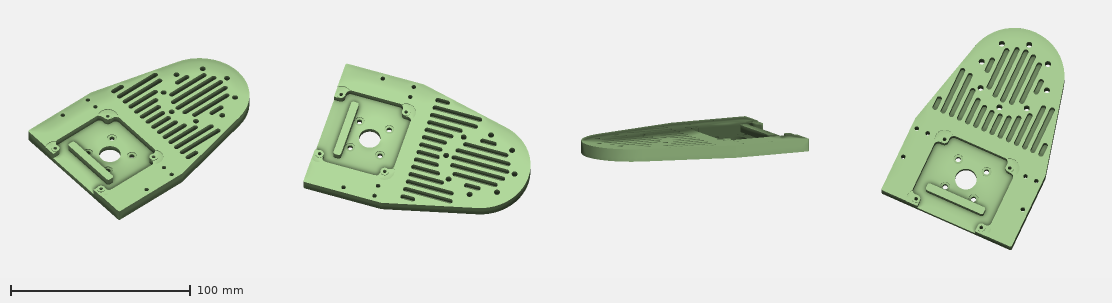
import cadquery as cq
import math

length = 119.2
width = 80.0
thickness = 7.0
straight_side = 45.8
nose_radius = 28.0
base_corner_radius = 1.0
half_width = width / 2
nose_y = length - nose_radius

slot_width = 3.0
slot_pitch = 5.0
slot_depth = 4.0
inner_vent_radius = 15.4
outer_vent_radius = 24.7
flank_inset = 3.5
outer_slot_start_y = 56.1
inner_slots_per_side = 3
outer_slots_per_side = 7

ring_hole_count = 8
ring_radius = 20.0
ring_hole_diameter = 3.3

side_hole_diameter = 2.5
side_hole_x = 36.7
inner_side_hole_x = 30.0
side_hole_upper_y = 40.7
side_hole_lower_y = 22.6

pocket_depth = 4.0
pocket_half_width = 24.1
pocket_top_y = 45.6
pocket_corner_radius = 2.5
pocket_floor = thickness - pocket_depth

post_x = 20.0
post_rows = (3.5, 41.5)
post_diameter = 4.6
post_hole_diameter = 2.0
recess_radius = 5.5
recess_depth = 0.5
post_radius = post_diameter / 2
web_x = post_x - post_radius
web_lower_y = post_rows[0] + post_radius
web_upper_y = post_rows[1] - post_radius

bore_y = 26.5
bore_diameter = 12.0
screw_offset = 8.7
screw_hole_diameter = 3.0
counterbore_diameter = 5.5
counterbore_depth = 0.5

bar_length = 2 * web_x
bar_width = 4.4
bar_y = 12.6
bar_corner_radius = 1.3

shoulder_drop = nose_y - straight_side
shoulder_distance = math.hypot(half_width, shoulder_drop)
flank_angle = math.acos(nose_radius / shoulder_distance) - math.atan2(shoulder_drop, half_width)
tangent_x = nose_radius * math.cos(flank_angle)
tangent_y = nose_y + nose_radius * math.sin(flank_angle)


def cylinders(points, diameter, bottom, height):
    return (
        cq.Workplane("XY", origin=(0, 0, bottom))
        .pushPoints(points)
        .circle(diameter / 2)
        .extrude(height)
    )


def through_holes(points, diameter):
    return cylinders(points, diameter, 0, thickness)


def make_plate():
    return (
        cq.Workplane("XY")
        .moveTo(-half_width, 0)
        .lineTo(half_width, 0)
        .lineTo(half_width, straight_side)
        .lineTo(tangent_x, tangent_y)
        .threePointArc((0, length), (-tangent_x, tangent_y))
        .lineTo(-half_width, straight_side)
        .close()
        .extrude(thickness)
        .edges("|Z and <Y")
        .fillet(base_corner_radius)
    )


def make_slot(x, lower_y, upper_y):
    """Slot along Y, given the centres of its round ends."""
    return (
        cq.Workplane("XY", origin=(x, (lower_y + upper_y) / 2, thickness))
        .slot2D(upper_y - lower_y + slot_width, slot_width, 90)
        .extrude(-slot_depth)
    )


def outer_slot_end(x):
    """Upper end centre: below the vent circle, or below the inset flank when beside the circle."""
    if x < outer_vent_radius:
        return nose_y - math.sqrt(outer_vent_radius**2 - x**2)
    flank_offset = nose_radius - flank_inset
    return nose_y + (flank_offset - x * math.cos(flank_angle)) / math.sin(flank_angle)


def cut_vents(body):
    for index in range(-inner_slots_per_side, inner_slots_per_side + 1):
        x = index * slot_pitch
        reach = math.sqrt(inner_vent_radius**2 - x**2)
        body = body.cut(make_slot(x, nose_y - reach, nose_y + reach))
    for index in range(outer_slots_per_side):
        x = (index + 0.5) * slot_pitch
        for side in (-1, 1):
            body = body.cut(make_slot(side * x, outer_slot_start_y, outer_slot_end(x)))
    return body


def make_pocket():
    """Cross-shaped pocket volume; the corner webs are what it leaves behind."""
    pocket = (
        cq.Workplane("XY", origin=(0, 0, pocket_floor))
        .moveTo(-web_x, 0)
        .lineTo(web_x, 0)
        .lineTo(web_x, web_lower_y)
        .lineTo(pocket_half_width, web_lower_y)
        .lineTo(pocket_half_width, web_upper_y)
        .lineTo(web_x, web_upper_y)
        .lineTo(web_x, pocket_top_y)
        .lineTo(-web_x, pocket_top_y)
        .lineTo(-web_x, web_upper_y)
        .lineTo(-pocket_half_width, web_upper_y)
        .lineTo(-pocket_half_width, web_lower_y)
        .lineTo(-web_x, web_lower_y)
        .close()
        .extrude(pocket_depth)
    )
    outer_corners = "|Z and (<X or >X or >Y)"
    web_corners = cq.selectors.BoxSelector(
        (-post_x, web_lower_y - post_radius, 0),
        (post_x, web_upper_y + post_radius, thickness),
    )
    pocket = pocket.edges(outer_corners).fillet(pocket_corner_radius)
    return pocket.edges("|Z").edges(web_corners).fillet(post_radius)


def make_bar():
    return (
        cq.Workplane("XY", origin=(0, bar_y, pocket_floor))
        .rect(bar_length, bar_width)
        .extrude(pocket_depth)
        .edges("|Z")
        .fillet(bar_corner_radius)
    )


post_points = [(side * post_x, y) for side in (-1, 1) for y in post_rows]
screw_points = [
    (x, bore_y + y) for x in (-screw_offset, screw_offset) for y in (-screw_offset, screw_offset)
]
side_points = [
    (side * x, y)
    for side in (-1, 1)
    for x, y in (
        (side_hole_x, side_hole_lower_y),
        (side_hole_x, side_hole_upper_y),
        (inner_side_hole_x, side_hole_upper_y),
    )
]
ring_angles = [2 * math.pi * index / ring_hole_count for index in range(ring_hole_count)]
ring_points = [
    (ring_radius * math.cos(angle), nose_y + ring_radius * math.sin(angle)) for angle in ring_angles
]

posts = cylinders(post_points, post_diameter, pocket_floor, pocket_depth)
recesses = cylinders(post_points, 2 * recess_radius, thickness - recess_depth, recess_depth)
counterbores = cylinders(
    screw_points, counterbore_diameter, pocket_floor - counterbore_depth, counterbore_depth
)

result = cut_vents(make_plate())
result = result.cut(make_pocket()).cut(recesses).cut(counterbores)
result = result.union(posts).union(make_bar())
result = result.cut(through_holes(ring_points, ring_hole_diameter))
result = result.cut(through_holes(side_points, side_hole_diameter))
result = result.cut(through_holes(post_points, post_hole_diameter))
result = result.cut(through_holes(screw_points, screw_hole_diameter))
result = result.cut(through_holes([(0, bore_y)], bore_diameter))